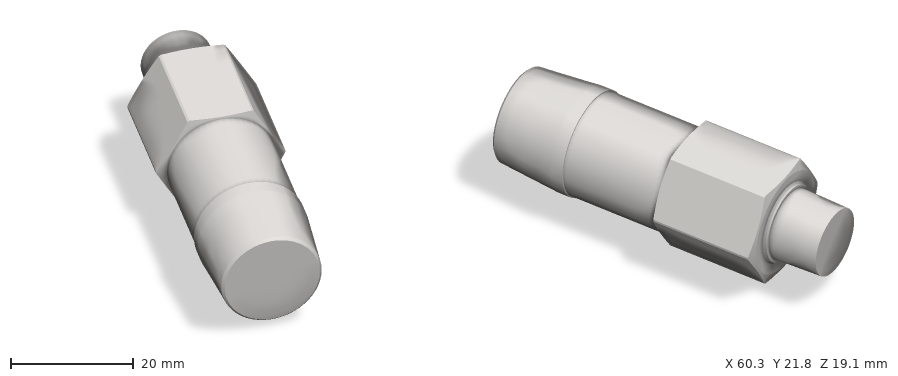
import cadquery as cq
import math

total_length = 60.3
collar_start = 8.75
hex_start = 9.45
hex_length = 19.0
ring_length = 2.35
nose_length = 11.75

plug_tip_radius = 5.97
plug_root_radius = 6.23

collar_radius = 6.85
collar_flare = 0.32

across_flats = 19.05
across_corners = 21.77
chamfer_circle_diameter = 18.1
chamfer_angle = 15.0

body_radius = 9.15
ring_radius = 9.4
nose_tip_radius = 8.45
nose_chamfer = 0.45

hex_end = hex_start + hex_length
ring_start = total_length - nose_length - ring_length
ring_end = total_length - nose_length


def revolve_about_x(profile):
    """Turn an (x, radius) profile, starting and ending on the axis, about X."""
    return cq.Workplane("XY").polyline(profile).close().revolve(360, (0, 0, 0), (1, 0, 0))


def make_plug():
    """Tapered plug with the flared collar behind it."""
    return revolve_about_x([
        (0, 0),
        (0, plug_tip_radius),
        (collar_start, plug_root_radius),
        (collar_start, collar_radius),
        (hex_start - collar_flare, collar_radius),
        (hex_start, collar_radius + collar_flare),
        (hex_start, 0),
    ])


def make_hexagon():
    """Hexagon bar trimmed by a turned blank that blunts its corners and chamfers both ends."""
    corner_diameter = across_flats / math.cos(math.pi / 6)
    bar = cq.Workplane("YZ").polygon(6, corner_diameter).extrude(hex_length)
    bar = bar.translate((hex_start, 0, 0))

    face_radius = chamfer_circle_diameter / 2
    blank_radius = across_corners / 2
    chamfer_depth = (blank_radius - face_radius) * math.tan(math.radians(chamfer_angle))
    blank = revolve_about_x([
        (hex_start, 0),
        (hex_start, face_radius),
        (hex_start + chamfer_depth, blank_radius),
        (hex_end - chamfer_depth, blank_radius),
        (hex_end, face_radius),
        (hex_end, 0),
    ])
    return bar.intersect(blank)


def make_body():
    """Cylindrical body with its raised ring, tapered nose and end chamfer."""
    return revolve_about_x([
        (hex_end, 0),
        (hex_end, body_radius),
        (ring_start, body_radius),
        (ring_start, ring_radius),
        (ring_end, ring_radius),
        (total_length - nose_chamfer, nose_tip_radius),
        (total_length, nose_tip_radius - nose_chamfer),
        (total_length, 0),
    ])


result = make_hexagon().union(make_plug()).union(make_body())